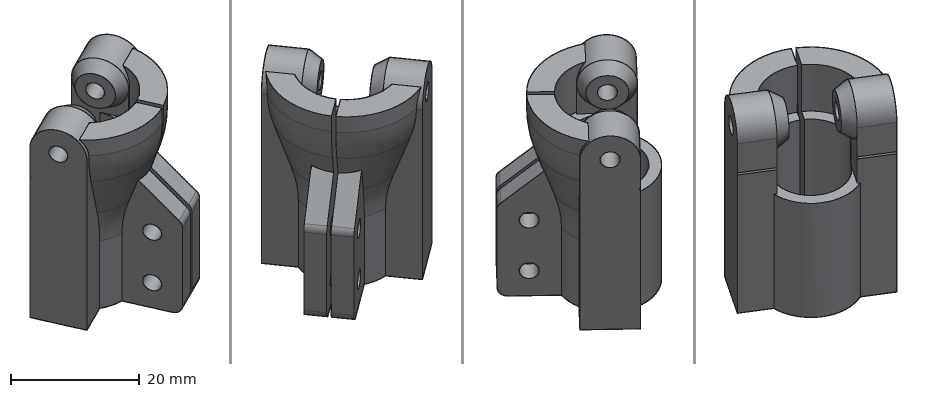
import cadquery as cq
import math

bore_radius = 6.35
tube_radius = 8.35
tube_height = 22.67
slit_width = 0.7

collar_radius = 12.7
collar_top = 37.1
ledge_height = 27.8
flare_start = 13.45
flare_lower_bend_end = 19.9
flare_upper_bend_start = 28.15
flare_end = 33.97

total_height = 38.43
post_radius = 4.73
total_width = 25.4
post_outer_y = total_width / 2
post_inner_y = 6.38
boss_tip_y = 4.15
boss_tip_radius = 3.35
pivot_height = total_height - post_radius
hole_diameter = 3.1

groove_top = 27.9
groove_root = 27.8
groove_bottom = 27.48
groove_depth = 0.15

tab_end_x = 17.37
tab_start_x = 7.3
tab_outer_y = 3.95
tab_shoulder_height = 18.0
tab_slope_angle = 42.8
tab_corner_radius = 1.7
tab_hole_x = 12.37
tab_hole_heights = (5.0, 15.03)


def cylinder(radius, bottom, top):
    return cq.Workplane("XY").workplane(offset=bottom).circle(radius).extrude(top - bottom)


def y_cylinder(radius, x, z, y_start, y_end):
    """Cylinder parallel to Y."""
    plane = cq.Workplane("XZ", origin=(0, y_start, 0))
    return plane.center(x, z).circle(radius).extrude(y_start - y_end)


def flare_angle():
    """Slope of the straight flare flank from vertical, tangent to the arcs at both ends."""
    bends = (flare_lower_bend_end - flare_start) + (flare_end - flare_upper_bend_start)
    straight = flare_upper_bend_start - flare_lower_bend_end
    growth = collar_radius - tube_radius
    bisection_steps = 50
    low = 0.0
    high = math.pi / 4
    for _ in range(bisection_steps):
        middle = (low + high) / 2
        if bends * math.tan(middle / 2) + straight * math.tan(middle) < growth:
            low = middle
        else:
            high = middle
    return low


def flared_half():
    angle = flare_angle()
    lower_height = flare_lower_bend_end - flare_start
    upper_height = flare_end - flare_upper_bend_start
    lower_radius = tube_radius + lower_height * math.tan(angle / 2)
    upper_radius = collar_radius - upper_height * math.tan(angle / 2)
    return (
        cq.Workplane("XZ")
        .lineTo(tube_radius, 0)
        .lineTo(tube_radius, flare_start)
        .tangentArcPoint((lower_radius, flare_lower_bend_end), relative=False)
        .lineTo(upper_radius, flare_upper_bend_start)
        .tangentArcPoint((collar_radius, flare_end), relative=False)
        .lineTo(collar_radius, collar_top)
        .lineTo(0, collar_top)
        .close()
        .revolve(180, (0, 0, 0), (0, 1, 0))
        .rotate((0, 0, 0), (0, 0, 1), -90)
    )


def tabs():
    """Both tabs as one block, parted later by the slit."""
    rise = (tab_end_x - tab_start_x) * math.tan(math.radians(tab_slope_angle))
    block = (
        cq.Workplane("XZ", origin=(0, tab_outer_y, 0))
        .moveTo(tab_start_x, 0)
        .lineTo(tab_end_x, 0)
        .lineTo(tab_end_x, tab_shoulder_height)
        .lineTo(tab_start_x, tab_shoulder_height + rise)
        .close()
        .extrude(2 * tab_outer_y)
        .edges("|Y and >X")
        .fillet(tab_corner_radius)
    )
    for height in tab_hole_heights:
        block = block.cut(y_cylinder(hole_diameter / 2, tab_hole_x, height, -tab_outer_y, tab_outer_y))
    return block


def post():
    """Round-topped post on the +Y side with a tapered boss facing the axis."""
    depth = post_outer_y - post_inner_y
    column = cq.Workplane("XY").box(2 * post_radius, depth, pivot_height, centered=(True, False, False))
    column = column.translate((0, post_inner_y, 0))
    head = y_cylinder(post_radius, 0, pivot_height, post_inner_y, post_outer_y)
    boss = (
        cq.Workplane("XZ", origin=(0, post_inner_y, pivot_height))
        .circle(post_radius)
        .workplane(offset=post_inner_y - boss_tip_y)
        .circle(boss_tip_radius)
        .loft()
    )
    groove = (
        cq.Workplane("XZ", origin=(0, post_outer_y, 0))
        .moveTo(-post_radius, groove_bottom)
        .lineTo(groove_depth - post_radius, groove_root)
        .lineTo(-post_radius, groove_top)
        .close()
        .extrude(depth)
    )
    return column.union(head).union(boss).cut(groove)


body = cylinder(tube_radius, 0, tube_height).union(flared_half()).union(tabs())
body = body.cut(cylinder(bore_radius, 0, total_height))
body = body.cut(cylinder(tube_radius, ledge_height, total_height))

slit = cq.Workplane("XY").box(tab_end_x, slit_width, total_height, centered=(False, True, False))
body = body.cut(slit)

pivot_post = post()
body = body.union(pivot_post).union(pivot_post.mirror("XZ"))

pivot_hole = y_cylinder(hole_diameter / 2, 0, pivot_height, -post_outer_y, post_outer_y)
result = body.cut(pivot_hole)